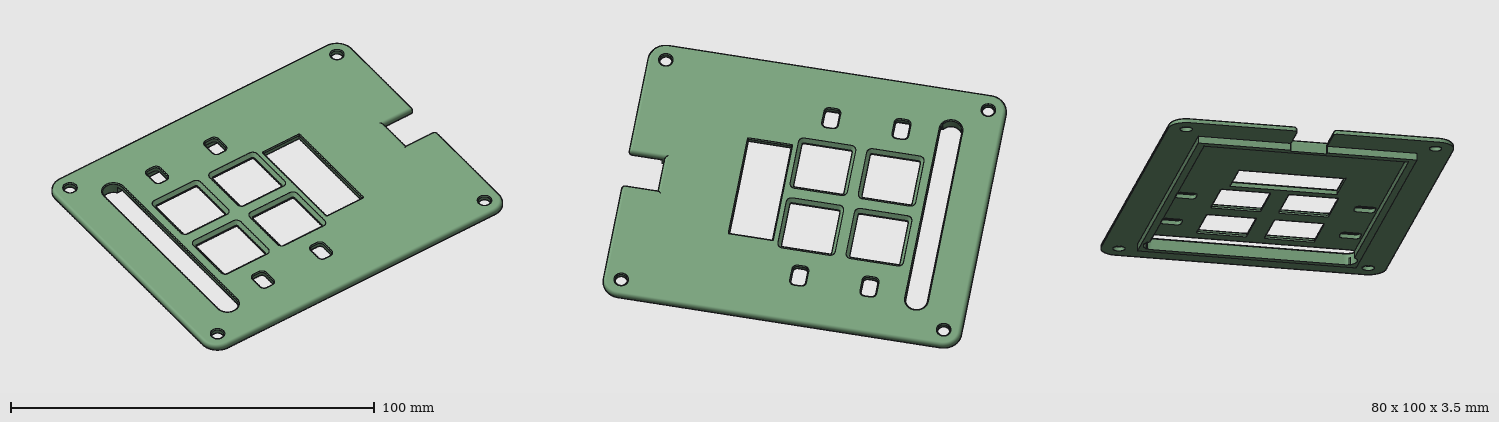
import cadquery as cq
plate_width = 80.0
plate_length = 100.0
plate_thickness = 1.5
corner_radius = 5.0
edge_fillet = 1.0

opening_chamfer = 0.3

rim_depth = 2.0
rim_width = 61.4
rim_length = 81.4
rim_wall = 2.0

screw_diameter = 3.4

notch_width = 10.2
notch_depth = 10.0
notch_x = -0.4

display_width = 30.0
display_length = 12.0
display_x = -0.4
display_y = 12.3

key_size = 14.0
key_pitch = 19.05
key_center_y = -12.9
key_corner_radius = 0.5
key_bevel = 1.0

button_width = 5.8
button_length = 4.1
button_corner_radius = 1.2
button_pitch_x = 50.2
button_pitch_y = 19.6
button_center_x = -0.15
button_center_y = -12.75

slot_length = 60.0
slot_width = 6.0
slot_y = -36.0

overlap = 1.0


def through_plane():
    """Work plane just below the rim, where every through cut starts."""
    return cq.Workplane("XY").workplane(offset=-rim_depth - overlap)


through_height = rim_depth + plate_thickness + 2 * overlap


def make_plate():
    """Rounded plate with the cable notch, its whole upper edge filleted."""
    plate = cq.Workplane("XY").rect(plate_width, plate_length).extrude(plate_thickness)
    plate = plate.edges("|Z").fillet(corner_radius)
    plate = plate.cut(notch_cutter())
    mouth = cq.selectors.BoxSelector(
        (notch_x - notch_width, plate_length / 2 - overlap, -overlap),
        (notch_x + notch_width, plate_length / 2 + overlap, plate_thickness + overlap),
    )
    plate = plate.edges("|Z").edges(mouth).fillet(edge_fillet)
    return plate.faces(">Z").edges().fillet(edge_fillet)


def notch_cutter():
    """Block open to the +Y edge."""
    length = notch_depth + overlap
    center_y = plate_length / 2 - notch_depth + length / 2
    return through_plane().center(notch_x, center_y).rect(notch_width, length).extrude(through_height)


def make_rim():
    """Rectangular wall under the plate, open where the notch passes."""
    rim = (
        cq.Workplane("XY")
        .rect(rim_width, rim_length)
        .rect(rim_width - 2 * rim_wall, rim_length - 2 * rim_wall)
        .extrude(-rim_depth)
    )
    return rim.cut(notch_cutter())


def screw_cutter():
    """Four round holes at the corner centers."""
    spacing_x = plate_width - 2 * corner_radius
    spacing_y = plate_length - 2 * corner_radius
    points = through_plane().rect(spacing_x, spacing_y, forConstruction=True).vertices()
    return points.circle(screw_diameter / 2).extrude(through_height)


def display_cutter():
    """Rectangular display window."""
    base = through_plane().center(display_x, display_y)
    return base.rect(display_width, display_length).extrude(through_height)


def key_cutter():
    """Two by two grid of square key openings."""
    base = through_plane().center(0, key_center_y)
    openings = base.rarray(key_pitch, key_pitch, 2, 2).rect(key_size, key_size).extrude(through_height)
    return openings.edges("|Z").fillet(key_corner_radius)


def button_cutter():
    """Two rounded openings on each side of the keys."""
    base = through_plane().center(button_center_x, button_center_y)
    grid = base.rarray(button_pitch_x, button_pitch_y, 2, 2)
    openings = grid.rect(button_width, button_length).extrude(through_height)
    return openings.edges("|Z").fillet(button_corner_radius)


def slot_cutter():
    """Long slot with round ends."""
    return through_plane().center(0, slot_y).slot2D(slot_length, slot_width).extrude(through_height)


def chamfered(cutter, chamfer):
    """Widen a cutter at 45 degrees around its outline in the plate's top face."""
    height_above_base = plate_thickness - chamfer + rim_depth + overlap
    outlines = cutter.section(height_above_base).wires()
    mouths = outlines.toPending().extrude(chamfer, taper=-45)
    return cutter.union(mouths)


result = make_plate().union(make_rim())
for cutter in (screw_cutter(), display_cutter(), button_cutter(), slot_cutter()):
    result = result.cut(chamfered(cutter, opening_chamfer))
result = result.cut(chamfered(key_cutter(), key_bevel))